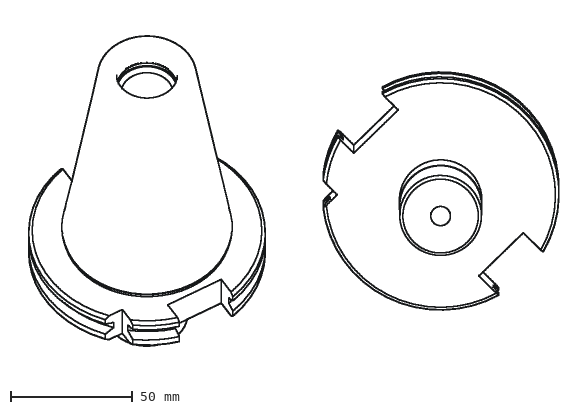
import cadquery as cq
import math

total_height = 161.8
gauge_height = 60.0
flange_top = 56.8
flange_bottom = 41.0
relief_top = 59.0
head_top = 30.9
collar_bottom = 20.2

taper_per_length = 7 / 24
gauge_diameter = 69.9
nose_round = 2.3
relief_radius = 34.6
relief_slope_height = 1.0

flange_radius = 48.7
flange_chamfer = 1.5
groove_floor_radius = 45.6
groove_floor_width = 3.2
groove_height = 49.2
groove_flank_angle = 30

keyway_width = 25.7
left_keyway_floor = 35.3
right_keyway_floor = 37.7
corner_notch_offset = 30.1

neck_diameter = 28.0
neck_fillet = 2.7
collar_radius = 17.0
head_radius = 16.8
head_chamfer = 1.3

bore_radius = 12.5
bore_mouth_round = 1.6
undercut_radius = 13.0
undercut_start_depth = 9.4
bore_depth = 11.8
countersink_depth = 1.8
thread_radius = 10.7
thread_depth = 48.5
drill_point_angle = 118
through_radius = 4.0


def revolve_profile(profile):
    """Turn a closed (radius, height) profile about the Z axis."""
    return profile.close().revolve(360, (0, 0, 0), (0, 1, 0))


def quarter_arc_middle(radius):
    """Distance along each axis from the arc centre to the middle of a quarter arc."""
    return radius * math.cos(math.radians(45))


def taper_radius(height):
    return (gauge_diameter - (height - gauge_height) * taper_per_length) / 2


def make_taper():
    cone = revolve_profile(
        cq.Workplane("XZ")
        .moveTo(0, flange_bottom)
        .lineTo(relief_radius, flange_bottom)
        .lineTo(relief_radius, relief_top - relief_slope_height)
        .lineTo(taper_radius(relief_top), relief_top)
        .lineTo(taper_radius(total_height), total_height)
        .lineTo(0, total_height)
    )
    return cone.faces(">Z").edges().fillet(nose_round)


def make_flange():
    disc = (
        cq.Workplane("XY")
        .workplane(offset=flange_bottom)
        .circle(flange_radius)
        .extrude(flange_top - flange_bottom)
        .edges()
        .chamfer(flange_chamfer)
    )
    return disc.cut(make_groove()).cut(make_cutouts())


def make_groove():
    flank_rise = (flange_radius - groove_floor_radius) * math.tan(math.radians(groove_flank_angle))
    half_floor = groove_floor_width / 2
    half_mouth = half_floor + flank_rise
    return revolve_profile(
        cq.Workplane("XZ")
        .moveTo(groove_floor_radius, groove_height - half_floor)
        .lineTo(flange_radius, groove_height - half_mouth)
        .lineTo(flange_radius, groove_height + half_mouth)
        .lineTo(groove_floor_radius, groove_height + half_floor)
    )


def flange_block(x_start, y_start, x_size, y_size):
    """A block through the full flange thickness, placed by its lowest corner."""
    thickness = flange_top - flange_bottom
    return cq.Workplane("XY").box(x_size, y_size, thickness, centered=False).translate(
        (x_start, y_start, flange_bottom)
    )


def make_cutouts():
    reach = flange_radius
    left = flange_block(-left_keyway_floor - reach, -keyway_width / 2, reach, keyway_width)
    right = flange_block(right_keyway_floor, -keyway_width / 2, reach, keyway_width)
    corner = flange_block(corner_notch_offset, -corner_notch_offset - reach, reach, reach)
    return left.union(right).union(corner)


def make_shank():
    neck_radius = neck_diameter / 2
    neck_top_radius = neck_radius + neck_fillet
    fillet_bottom = flange_bottom - neck_fillet
    bow = quarter_arc_middle(neck_fillet)
    return revolve_profile(
        cq.Workplane("XZ")
        .lineTo(head_radius - head_chamfer, 0)
        .lineTo(head_radius, head_chamfer)
        .lineTo(head_radius, collar_bottom)
        .lineTo(collar_radius, collar_bottom)
        .lineTo(collar_radius, head_top)
        .lineTo(neck_radius, head_top)
        .lineTo(neck_radius, fillet_bottom)
        .threePointArc((neck_top_radius - bow, fillet_bottom + bow), (neck_top_radius, flange_bottom))
        .lineTo(0, flange_bottom)
    )


def make_bore():
    bore_floor = total_height - bore_depth
    undercut_top = total_height - undercut_start_depth
    mouth_radius = bore_radius + bore_mouth_round
    mouth_bow = quarter_arc_middle(bore_mouth_round)
    thread_floor = total_height - thread_depth
    point_length = (thread_radius - through_radius) / math.tan(math.radians(drill_point_angle / 2))
    return revolve_profile(
        cq.Workplane("XZ")
        .lineTo(through_radius, 0)
        .lineTo(through_radius, thread_floor - point_length)
        .lineTo(thread_radius, thread_floor)
        .lineTo(thread_radius, bore_floor - countersink_depth)
        .lineTo(bore_radius, bore_floor)
        .lineTo(undercut_radius, bore_floor)
        .lineTo(undercut_radius, undercut_top)
        .lineTo(bore_radius, undercut_top)
        .lineTo(bore_radius, total_height - bore_mouth_round)
        .threePointArc(
            (mouth_radius - mouth_bow, total_height - bore_mouth_round + mouth_bow),
            (mouth_radius, total_height),
        )
        .lineTo(0, total_height)
    )


result = make_taper().union(make_flange()).union(make_shank()).cut(make_bore())